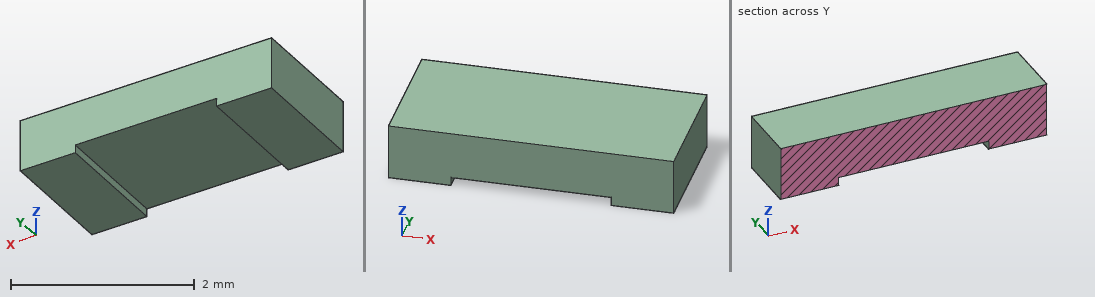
import cadquery as cq

length = 3.2
width = 1.5
height = 0.65

foot_length = 0.7
foot_height = 0.1
recess_length = length - 2 * foot_length

block = cq.Workplane("XY").box(length, width, height, centered=(True, True, False))

recess = cq.Workplane("XY").box(recess_length, width, foot_height, centered=(True, True, False))

result = block.cut(recess)